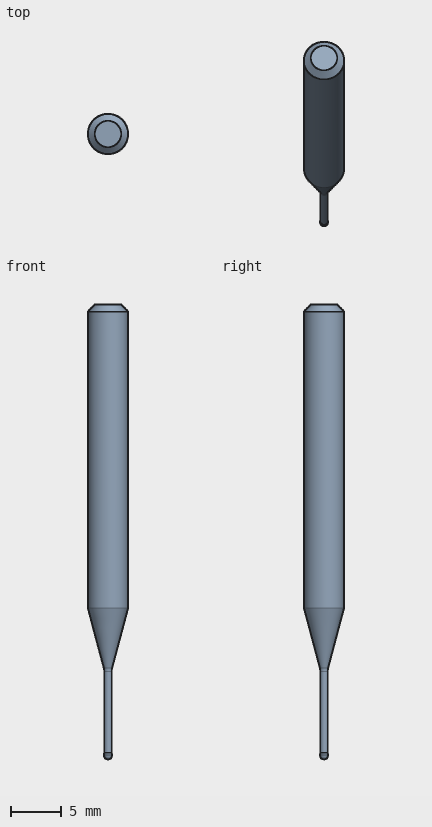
import cadquery as cq
import math

total_length = 45.0
shank_radius = 4.0 / 2
top_face_radius = 2.6 / 2
shank_chamfer = shank_radius - top_face_radius

taper_top = 15.0
taper_corner = 8.9
blend_radius = 1.2

ball_radius = 0.4
neck_radius = 0.382
head_shoulder = 0.68
land_top = 0.55

blend_angle = math.atan2(shank_radius - neck_radius, taper_top - taper_corner)
neck_top = taper_corner - blend_radius * math.tan(blend_angle / 2)
taper_bottom = neck_top + blend_radius * math.sin(blend_angle)
taper_end_radius = neck_radius + blend_radius * (1 - math.cos(blend_angle))
blend_mid_radius = neck_radius + blend_radius * (1 - math.cos(blend_angle / 2))
blend_mid_height = neck_top + blend_radius * math.sin(blend_angle / 2)


def revolve_profile(profile):
    """Turn a closed radius-height profile about the Z axis."""
    return profile.close().revolve(360, (0, 0, 0), (0, 1, 0))


def make_shank():
    """Chamfered shank, taper and slender neck as one turned body."""
    profile = (
        cq.Workplane("XZ")
        .moveTo(0, head_shoulder)
        .lineTo(neck_radius, head_shoulder)
        .lineTo(neck_radius, neck_top)
        .threePointArc((blend_mid_radius, blend_mid_height), (taper_end_radius, taper_bottom))
        .lineTo(shank_radius, taper_top)
        .lineTo(shank_radius, total_length - shank_chamfer)
        .lineTo(top_face_radius, total_length)
        .lineTo(0, total_length)
    )
    return revolve_profile(profile)


def make_cutting_head():
    """Hemispherical tip, short cylindrical land and bevel back to the neck."""
    arc_mid_radius = ball_radius * math.sin(math.pi / 4)
    arc_mid_height = ball_radius * (1 - math.cos(math.pi / 4))
    profile = (
        cq.Workplane("XZ")
        .moveTo(0, 0)
        .threePointArc((arc_mid_radius, arc_mid_height), (ball_radius, ball_radius))
        .lineTo(ball_radius, land_top)
        .lineTo(neck_radius, head_shoulder)
        .lineTo(0, head_shoulder)
    )
    return revolve_profile(profile)


shank = make_shank()
cutting_head = make_cutting_head()
result = cq.Compound.makeCompound([shank.val(), cutting_head.val()])